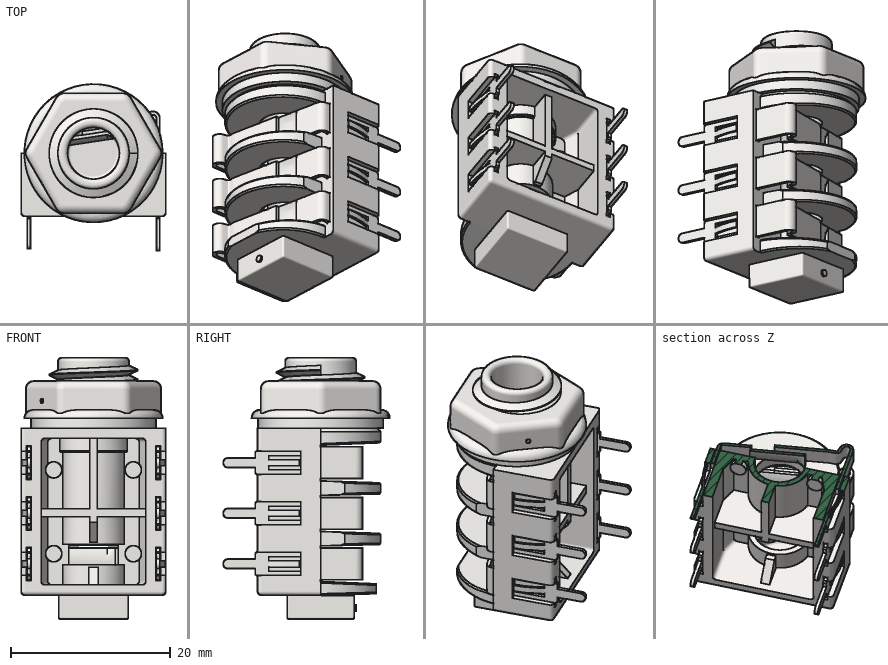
import cadquery as cq
import math


body_width = 18.2
body_depth = 7.94
body_height = 21.0
body_edge_radius = 0.5

bore_radius = 3.25
bore_floor_z = -2.0
bore_floor_radius = 0.4
bush_radius = 4.48
bush_top_z = 29.85
bush_rim_radius = 0.5
bush_lead_in_radius = 0.6
collar_radius = 7.88
collar_top_z = 22.22
flange_radius = 8.7
flange_rounding = 1.1
nut_sides = 6
nut_across_flats = 15.06
nut_top_z = 26.92
nut_corner_radius = 1.2
nut_top_radius = 1.0
dimple_radius = 0.28
dimple_depth = 0.1
dimple_z = 24.43
dimple_direction = 210

thread_pitch = 1.22
thread_turns = 2
thread_crest_radius = 5.57
thread_crest_width = 0.1
thread_base_width = 1.2
thread_end_z = 28.3
thread_root_overlap = 0.03

plug_width = 8.76
plug_depth = 8.44
plug_height = 3.0
plug_edge_radius = 0.22
pip_radius = 0.42
pip_height = 0.22
pip_z = -1.6

cavity_half_width = 6.58
cavity_back_half_width = 5.75
cavity_bottom_z = 1.3
cavity_top_z = 19.72
cavity_back_y = -1.0
cavity_splay_y = -3.03
cavity_corner_radius = 0.5

sleeve_radius = 4.0
sleeve_band_radius = 4.38
sleeve_band_bottom_z = 17.98
sleeve_band_chamfer = 0.15
window_bottom_z = 3.83
window_top_z = 6.4
rib_width = 1.0
rib_front_y = -body_depth + 1.0
cross_rib_z = 10.34
upright_rib_front_z = 9.16
upright_rib_sleeve_z = 6.69
gusset_width = 1.16
gusset_top_z = 3.53
boss_radius = 1.02
boss_height = 0.7
boss_x = 5.0
boss_levels = [5.22, 15.75]

disc_radius = 7.56
foot_disc_depth = 7.0
disc_half_width = 6.94
disc_rim_chamfer = 0.2
head_disc_chamfer = 0.45
head_disc_root_z = 18.85
head_disc_rim_z = 19.15
middle_disc_root_bottom_z = 12.54
middle_disc_root_top_z = 14.38
middle_disc_rim_bottom_z = 12.72
middle_disc_rim_top_z = 14.13
foot_disc_root_top_z = 1.74
foot_disc_rim_bottom_z = 0.2
foot_disc_rim_top_z = 1.42

contact_pitch = 6.35
contact_levels = [3.95 + row * contact_pitch for row in range(3)]
leaf_height = 4.02
leaf_thickness = 0.45
terminal_outer_x = 8.35
terminal_inner_x = terminal_outer_x - leaf_thickness
slot_height = 4.15
slot_outer_x = 8.4
slot_width = 0.56
pocket_height = 2.9
pocket_end_y = -2.51
leaf_front_y = -7.5
leaf_front_chamfer = 0.5
shoulder_front_y = -8.24
shoulder_height = 3.0
shoulder_chamfer = 0.2
pin_width = 1.22
left_pin_tip_y = -11.97
right_pin_tip_y = -12.26
lance_window_height = 1.81
lance_back_y = -2.45
lance_front_y = -6.52
tongue_height = 0.8
tongue_thickness = 0.3
tongue_tip_y = -2.7
tongue_tip_x = 9.0
tongue_middle_share = 0.75

spring_slope = 0.153
spring_top_y_on_axis = 2.516
elbow_radius = 0.9
arch_start_x = -4.2
arch_end_x = 1.72
arch_rise = 0.62
spring_tip_x = 2.73
spring_tip_y = 1.8
hairpin_radius = 0.9
hairpin_y = 4.37
hairpin_exit_angle = 12
upper_leaf_drop = 0.65
upper_leaf_end_x = -1.4
upper_leaf_bend_x = 5.4
contact_bite = 0.02


def box(x_min, x_max, y_min, y_max, z_min, z_max):
    size = (x_max - x_min, y_max - y_min, z_max - z_min)
    return cq.Workplane("XY").box(*size, centered=False).translate((x_min, y_min, z_min))


def cylinder(radius, z_min, z_max):
    return cq.Workplane("XY").workplane(offset=z_min).circle(radius).extrude(z_max - z_min)


def side_profile(points, half_width):
    """Extrude a (y, z) outline symmetrically along X."""
    return cq.Workplane("YZ").polyline(points).close().extrude(half_width, both=True)


def mirror_x(shape):
    return shape.mirror("YZ")


def body_block():
    block = box(-body_width / 2, body_width / 2, -body_depth, 0, 0, body_height)
    return block.edges("(|Z and <Y) or (<Z and (not >Y))").fillet(body_edge_radius)


def cavity():
    outline = [
        (-cavity_half_width, -body_depth),
        (cavity_half_width, -body_depth),
        (cavity_half_width, cavity_splay_y),
        (cavity_back_half_width, cavity_back_y),
        (-cavity_back_half_width, cavity_back_y),
        (-cavity_half_width, cavity_splay_y),
    ]
    pocket = (
        cq.Workplane("XY").workplane(offset=cavity_bottom_z).polyline(outline).close()
        .extrude(cavity_top_z - cavity_bottom_z)
    )
    side_edges = pocket.faces("|Z").edges("not (>Y or <Y)")
    return side_edges.fillet(cavity_corner_radius)


def cavity_fittings():
    """Half sleeve, ribs, gusset and bosses in the cavity; upright rib and gusset slope at 45 degrees."""
    sleeve = cylinder(sleeve_radius, cavity_bottom_z, cavity_top_z)
    band = cylinder(sleeve_band_radius, sleeve_band_bottom_z, cavity_top_z)
    sleeve = sleeve.union(band.faces("<Z").edges().chamfer(sleeve_band_chamfer))
    sleeve = sleeve.cut(
        box(-sleeve_radius, sleeve_radius, -sleeve_radius, cavity_back_y, window_bottom_z, window_top_z)
    )

    cross_rib = box(
        -cavity_half_width, cavity_half_width, rib_front_y, cavity_back_y,
        cross_rib_z - rib_width / 2, cross_rib_z + rib_width / 2,
    )
    upright_rib = side_profile(
        [
            (rib_front_y, cavity_top_z),
            (rib_front_y, upright_rib_front_z),
            (rib_front_y + upright_rib_front_z - upright_rib_sleeve_z, upright_rib_sleeve_z),
            (-bore_radius, upright_rib_sleeve_z),
            (-bore_radius, cavity_top_z),
        ],
        rib_width / 2,
    )
    gusset = side_profile(
        [
            (rib_front_y, cavity_bottom_z),
            (-bore_radius, cavity_bottom_z),
            (-bore_radius, gusset_top_z),
            (rib_front_y + gusset_top_z - cavity_bottom_z, gusset_top_z),
        ],
        gusset_width / 2,
    )
    bosses = (
        cq.Workplane("XZ", origin=(0, cavity_back_y, 0))
        .pushPoints([(side * boss_x, z) for side in (-1, 1) for z in boss_levels])
        .circle(boss_radius).extrude(boss_height)
    )
    fittings = sleeve.union(cross_rib).union(upright_rib).union(gusset).union(bosses)
    in_front_of_back = box(
        -body_width, body_width, -body_depth, 0, cavity_bottom_z, cavity_top_z
    )
    return fittings.intersect(in_front_of_back)


def half_disc(root_bottom, root_top, rim_bottom, rim_top):
    """Half disc behind the block, thinning from its root at Y = 0 to its rim."""
    wedge = side_profile(
        [(0, root_bottom), (0, root_top), (disc_radius, rim_top), (disc_radius, rim_bottom)], disc_radius
    )
    return wedge.intersect(cylinder(disc_radius, root_bottom, root_top))


def discs():
    head = half_disc(head_disc_root_z, body_height, head_disc_rim_z, body_height)
    head = head.edges("%ELLIPSE").chamfer(disc_rim_chamfer)
    head = head.faces(">Z").edges("%CIRCLE").chamfer(head_disc_chamfer)
    middle = half_disc(
        middle_disc_root_bottom_z, middle_disc_root_top_z,
        middle_disc_rim_bottom_z, middle_disc_rim_top_z,
    )
    middle = middle.edges("%ELLIPSE").chamfer(disc_rim_chamfer)
    flats = box(-disc_half_width, disc_half_width, 0, disc_radius, 0, body_height)
    middle = middle.intersect(flats)
    lower = middle.translate((0, 0, -contact_pitch))
    foot = half_disc(0, foot_disc_root_top_z, foot_disc_rim_bottom_z, foot_disc_rim_top_z)
    foot = foot.edges("%ELLIPSE").chamfer(disc_rim_chamfer)
    foot = foot.intersect(box(-disc_radius, disc_radius, 0, foot_disc_depth, 0, body_height))
    return head.union(middle).union(lower).union(foot)


def nut():
    hexagon = (
        cq.Workplane("XY").workplane(offset=collar_top_z)
        .polygon(nut_sides, nut_across_flats / math.cos(math.pi / nut_sides))
        .extrude(nut_top_z - collar_top_z)
        .edges("|Z").fillet(nut_corner_radius)
        .faces(">Z").edges().fillet(nut_top_radius)
    )
    rounding_centre_x = flange_radius - flange_rounding
    diagonal = flange_rounding * math.sqrt(0.5)
    flange = (
        cq.Workplane("XZ").moveTo(0, collar_top_z).lineTo(flange_radius, collar_top_z)
        .threePointArc(
            (rounding_centre_x + diagonal, collar_top_z + diagonal),
            (rounding_centre_x, collar_top_z + flange_rounding),
        )
        .lineTo(0, collar_top_z + flange_rounding).close().revolve()
    )
    face_angle = math.radians(dimple_direction)
    outward = cq.Vector(math.cos(face_angle), math.sin(face_angle), 0)
    face_centre = outward * (nut_across_flats / 2) + cq.Vector(0, 0, dimple_z)
    face_plane = cq.Plane(face_centre, normal=outward)
    dimple = cq.Workplane(face_plane).circle(dimple_radius).extrude(-dimple_depth)
    return hexagon.union(flange).cut(dimple)


def thread():
    """Right-handed V thread that ends square on the +X side."""
    start_z = thread_end_z - thread_turns * thread_pitch
    root_radius = bush_radius - thread_root_overlap
    helix = cq.Wire.makeHelix(thread_pitch, thread_turns * thread_pitch, root_radius)
    path = cq.Workplane(helix.translate(cq.Vector(0, 0, start_z)))
    profile = [
        (root_radius, start_z - thread_base_width / 2),
        (thread_crest_radius, start_z - thread_crest_width / 2),
        (thread_crest_radius, start_z + thread_crest_width / 2),
        (root_radius, start_z + thread_base_width / 2),
    ]
    return cq.Workplane("XZ").polyline(profile).close().sweep(path, isFrenet=True)


def plug():
    block = box(-plug_width / 2, plug_width / 2, -plug_depth / 2, plug_depth / 2, -plug_height, 0)
    block = block.edges("|Z or <Z").fillet(plug_edge_radius)
    pip = (
        cq.Workplane("XZ", origin=(0, plug_depth / 2, pip_z)).circle(pip_radius).extrude(-pip_height)
    )
    return block.union(pip)


def bore():
    hole = cylinder(bore_radius, bore_floor_z, bush_top_z)
    return hole.faces("<Z").edges().fillet(bore_floor_radius)


def contact_openings():
    """Slots through the block for the contacts, with open pockets on its side faces."""
    openings = cq.Workplane("XY")
    for z in contact_levels:
        slot = box(
            slot_outer_x - slot_width, slot_outer_x, -body_depth, 0,
            z - slot_height / 2, z + slot_height / 2,
        )
        pocket = box(
            slot_outer_x, body_width / 2, -body_depth, pocket_end_y,
            z - pocket_height / 2, z + pocket_height / 2,
        )
        opening = slot.union(pocket)
        openings = openings.union(opening).union(mirror_x(opening))
    return openings


def make_housing():
    bush = cylinder(bush_radius, body_height, bush_top_z).faces(">Z").edges().fillet(bush_rim_radius)
    housing = body_block().cut(cavity()).union(cavity_fittings())
    housing = housing.union(discs()).union(plug())
    housing = housing.union(cylinder(collar_radius, body_height, collar_top_z)).union(nut())
    housing = housing.union(bush).union(thread())
    housing = housing.cut(bore()).cut(contact_openings())
    mouth = housing.faces(">Z").edges(cq.selectors.RadiusNthSelector(0))
    return mouth.fillet(bush_lead_in_radius)


def spring_top_y(x):
    return spring_top_y_on_axis + spring_slope * x


def leaf(outline):
    return outline.close().extrude(leaf_height / 2, both=True)


def terminal(pin_tip_y, leaf_end_y):
    """Flat terminal on the +X side: leaf, shoulder, round-ended pin and a lanced tongue."""
    plate = box(
        terminal_inner_x, terminal_outer_x, leaf_front_y, leaf_end_y,
        -leaf_height / 2, leaf_height / 2,
    ).edges("|X and <Y").chamfer(leaf_front_chamfer)
    shoulder = box(
        terminal_inner_x, terminal_outer_x, shoulder_front_y, leaf_front_y,
        -shoulder_height / 2, shoulder_height / 2,
    ).edges("|X and <Y").chamfer(shoulder_chamfer)
    tip_centre_y = pin_tip_y + pin_width / 2
    pin = (
        cq.Workplane("YZ", origin=(terminal_inner_x, 0, 0))
        .moveTo(leaf_front_y, pin_width / 2).lineTo(tip_centre_y, pin_width / 2)
        .threePointArc((pin_tip_y, 0), (tip_centre_y, -pin_width / 2))
        .lineTo(leaf_front_y, -pin_width / 2).close().extrude(leaf_thickness)
    )
    window = box(
        terminal_inner_x, terminal_outer_x, lance_front_y, lance_back_y,
        -lance_window_height / 2, lance_window_height / 2,
    )
    return plate.union(shoulder).union(pin).cut(window).union(tongue())


def tongue():
    """Tongue that curves outwards from the front end of the lanced window."""
    root_x = terminal_outer_x
    middle_y = (lance_front_y + tongue_tip_y) / 2
    middle_x = root_x + tongue_middle_share * (tongue_tip_x - root_x)
    return (
        cq.Workplane("XY").moveTo(root_x, lance_front_y)
        .threePointArc((middle_x, middle_y), (tongue_tip_x, tongue_tip_y))
        .lineTo(tongue_tip_x - tongue_thickness, tongue_tip_y)
        .threePointArc(
            (middle_x - tongue_thickness, middle_y),
            (root_x - tongue_thickness, lance_front_y),
        )
        .close().extrude(tongue_height / 2, both=True)
    )


def lower_spring():
    """Leaf from the -X terminal across the bore: flat, then arched, then a flattened lip."""
    flat = leaf(
        cq.Workplane("XY").polyline(
            [
                (-terminal_outer_x, 0),
                (-terminal_outer_x, spring_top_y(-terminal_outer_x)),
                (arch_start_x, spring_top_y(arch_start_x)),
                (arch_start_x, spring_top_y(arch_start_x) - leaf_thickness),
                (-terminal_inner_x, spring_top_y(-terminal_inner_x) - leaf_thickness),
                (-terminal_inner_x, 0),
            ]
        )
    )
    flat = flat.faces("<X").edges(">Y").fillet(elbow_radius)
    arch = cq.Workplane(cq.Solid.makeLoft([arch_wire(arch_start_x), arch_wire(arch_end_x)], True))
    lip = cq.Workplane(cq.Solid.makeLoft([arch_wire(arch_end_x), lip_wire()], True))
    return flat.union(arch).union(lip)


def arch_wire(x):
    """Cross-section of the arched leaf, bulging towards -Y."""
    top = spring_top_y(x)
    bottom = top - leaf_thickness
    edge_z = leaf_height / 2
    corners = [cq.Vector(x, top, -edge_z), cq.Vector(x, top, edge_z)]
    corners += [cq.Vector(x, bottom, edge_z), cq.Vector(x, bottom, -edge_z)]
    crown_top = cq.Vector(x, top - arch_rise, 0)
    crown_bottom = cq.Vector(x, bottom - arch_rise, 0)
    return cq.Wire.assembleEdges(
        [
            cq.Edge.makeThreePointArc(corners[0], crown_top, corners[1]),
            cq.Edge.makeLine(corners[1], corners[2]),
            cq.Edge.makeThreePointArc(corners[2], crown_bottom, corners[3]),
            cq.Edge.makeLine(corners[3], corners[0]),
        ]
    )


def lip_wire():
    top = spring_tip_y + leaf_thickness
    edge_z = leaf_height / 2
    corners = [(top, -edge_z), (top, edge_z), (spring_tip_y, edge_z), (spring_tip_y, -edge_z)]
    return cq.Wire.makePolygon([cq.Vector(spring_tip_x, y, z) for y, z in corners], close=True)


def upper_spring():
    """Leaf from the +X terminal: hairpin over the top, then down onto the lower leaf."""
    middle_radius = hairpin_radius - leaf_thickness / 2
    hairpin_x = terminal_outer_x - hairpin_radius
    middle_y_on_axis = spring_top_y_on_axis + leaf_thickness / 2 - contact_bite
    slope_length = math.hypot(1, spring_slope)
    run_direction = (-1 / slope_length, -spring_slope / slope_length)
    run_start = (upper_leaf_bend_x, middle_y_on_axis + spring_slope * upper_leaf_bend_x)
    run_end = (upper_leaf_end_x, middle_y_on_axis + spring_slope * upper_leaf_end_x)
    exit_angle = math.radians(hairpin_exit_angle)
    exit_direction = (-math.sin(exit_angle), -math.cos(exit_angle))
    exit_point = (
        hairpin_x - middle_radius * math.cos(exit_angle),
        hairpin_y + middle_radius * math.sin(exit_angle),
    )
    drop_end = (
        exit_point[0] + upper_leaf_drop * exit_direction[0],
        exit_point[1] + upper_leaf_drop * exit_direction[1],
    )
    path = (
        cq.Workplane("XY").moveTo(terminal_outer_x - leaf_thickness / 2, hairpin_y)
        .threePointArc((hairpin_x, hairpin_y + middle_radius), exit_point)
        .lineTo(*drop_end)
        .spline([run_start], tangents=[exit_direction, run_direction], includeCurrent=True)
        .lineTo(*run_end)
    )
    section = cq.Workplane("XZ", origin=(terminal_outer_x - leaf_thickness / 2, hairpin_y, 0))
    return section.rect(leaf_thickness, leaf_height).sweep(path)


def make_contact(z):
    """Switch contact: two terminals whose spring leaves rest on each other."""
    left = mirror_x(terminal(left_pin_tip_y, 0)).union(lower_spring())
    right = terminal(right_pin_tip_y, hairpin_y).union(upper_spring())
    return left.union(right).translate((0, 0, z))


housing = make_housing()
contacts = [make_contact(z) for z in contact_levels]

result = cq.Compound.makeCompound([housing.val(), *[contact.val() for contact in contacts]])